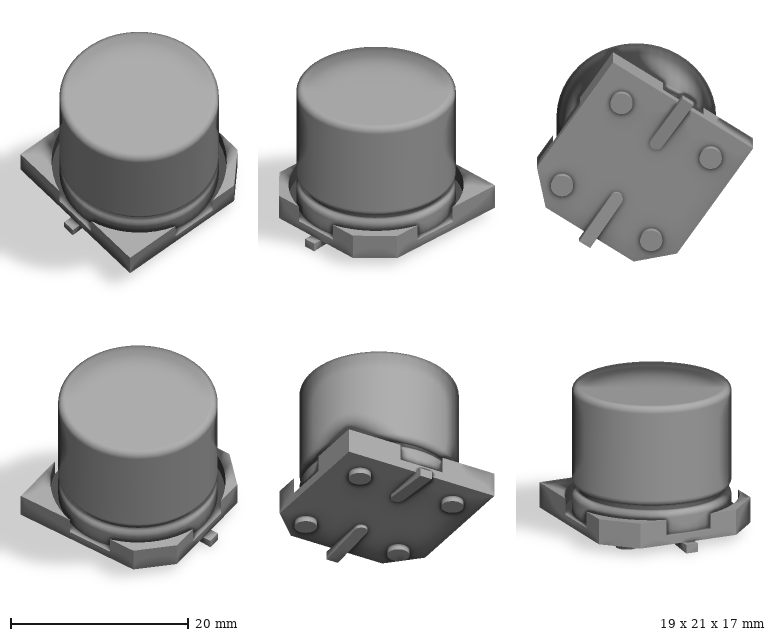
import cadquery as cq


base_side = 19.0
base_height = 2.96
corner_cut = 3.53
recess_floor = 1.03
recess_radius = 9.9

can_radius = 9.0
can_top = 16.0
edge_radius = 0.74
neck_radius = can_radius - edge_radius
bead_start = base_height
neck_bottom = bead_start + edge_radius
neck_top = 4.25

foot_radius = 1.25
foot_height = 0.7
foot_offset = 6.05

lead_width = 1.5
lead_outer_y = 10.5
lead_inner_y = 3.34
lead_outer_depth = 1.0
lead_inner_depth = 0.4


def make_base():
    """Square plate with two cut corners and a round recess breaking its sides."""
    plate = cq.Workplane("XY").rect(base_side, base_side).extrude(base_height)
    plate = plate.edges("|Z and >Y").chamfer(corner_cut)
    recess = (
        cq.Workplane("XY")
        .workplane(offset=recess_floor)
        .circle(recess_radius)
        .extrude(base_height - recess_floor)
    )
    return plate.cut(recess)


def make_can():
    """Cylinder with rounded edges and a crimped neck above the base."""
    lower = (
        cq.Workplane("XY")
        .workplane(offset=recess_floor)
        .circle(can_radius)
        .extrude(neck_bottom - recess_floor)
        .faces(">Z")
        .edges()
        .fillet(edge_radius)
    )
    neck = (
        cq.Workplane("XY")
        .workplane(offset=recess_floor)
        .circle(neck_radius)
        .extrude(can_top - edge_radius - recess_floor)
    )
    upper = (
        cq.Workplane("XY")
        .workplane(offset=neck_top)
        .circle(can_radius)
        .extrude(can_top - neck_top)
        .edges()
        .fillet(edge_radius)
    )
    return lower.union(neck).union(upper)


def make_feet():
    """Four short round pegs under the base."""
    return (
        cq.Workplane("XY")
        .rect(2 * foot_offset, 2 * foot_offset, forConstruction=True)
        .vertices()
        .circle(foot_radius)
        .extrude(-foot_height)
    )


def make_lead():
    """Lead on the +Y side: thicker towards its tip, with a rounded inner end."""
    half_width = lead_width / 2
    wedge = (
        cq.Workplane("YZ")
        .moveTo(lead_inner_y, 0)
        .lineTo(lead_outer_y, 0)
        .lineTo(lead_outer_y, -lead_outer_depth)
        .lineTo(lead_inner_y, -lead_inner_depth)
        .close()
        .extrude(half_width, both=True)
    )
    outline = (
        cq.Workplane("XY")
        .moveTo(-half_width, lead_outer_y)
        .lineTo(-half_width, lead_inner_y + half_width)
        .threePointArc((0, lead_inner_y), (half_width, lead_inner_y + half_width))
        .lineTo(half_width, lead_outer_y)
        .close()
        .extrude(-lead_outer_depth)
    )
    return wedge.intersect(outline)


lead = make_lead()
result = make_base().union(make_can()).union(make_feet()).union(lead).union(lead.mirror("XZ"))